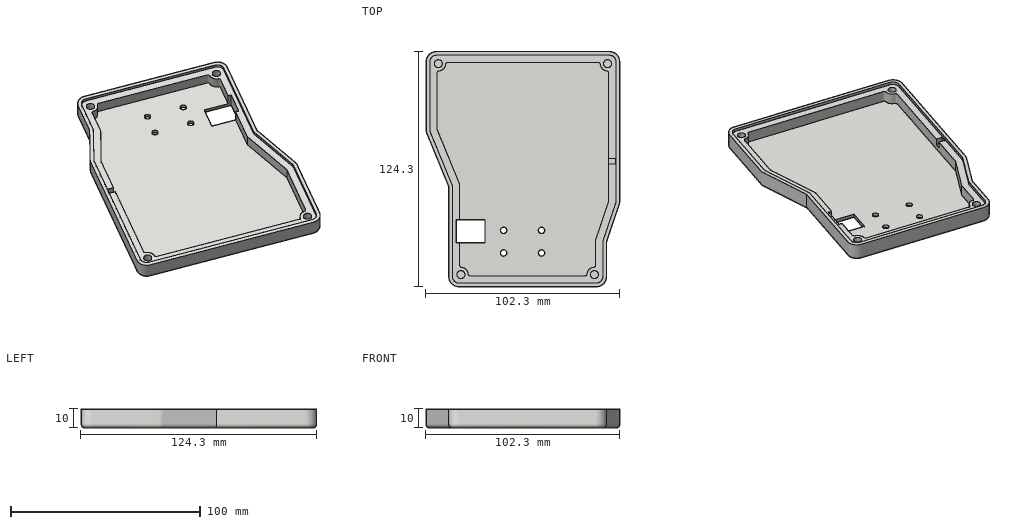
import cadquery as cq
import math

width = 102.3
length = 124.3
height = 10.0

front_left_x = 11.9
front_right_x = 95.3
left_slope_front_y = 53.0
left_slope_back_y = 81.9
right_slope_front_y = 23.7
right_slope_back_y = 44.4
corner_radius = 5.5
bottom_edge_radius = 2.0

floor_thickness = 2.0
lip_width = 2.0
lip_depth = 1.6
wall_thickness = 5.8
ledge_z = height - lip_depth

post_radius = 3.9
post_blend_radius = 1.0
screw_hole_diameter = 4.2
post_inset = 6.5

match_tolerance = 0.01

notch_width = 3.0
notch_center_y = 66.4
notch_outer_wall = 2.4
notch_depth = 3.5

window_width = 15.0
window_length = 12.0
window_left_x = 16.0
window_front_y = 23.4

floor_hole_diameter = 3.2
floor_hole_spacing_x = 20.0
floor_hole_spacing_y = 11.9
floor_hole_center = (51.0, 23.9)

outline = [
    (front_left_x, 0),
    (front_right_x, 0),
    (front_right_x, right_slope_front_y),
    (width, right_slope_back_y),
    (width, length),
    (0, length),
    (0, left_slope_back_y),
    (front_left_x, left_slope_front_y),
]
concave_corners = [outline[2], outline[7]]

post_centers = [
    (front_left_x + post_inset, post_inset),
    (front_right_x - post_inset, post_inset),
    (width - post_inset, length - post_inset),
    (post_inset, length - post_inset),
]


def distance_in_plan(edge, point):
    center = edge.Center()
    return math.hypot(center.x - point[0], center.y - point[1])


def is_convex_corner(edge):
    """True for every outline corner except the two at the foot of the slopes."""
    return all(distance_in_plan(edge, corner) > corner_radius for corner in concave_corners)


def is_post_junction(edge):
    """True where a post surface meets a straight pocket wall."""
    gaps = [abs(distance_in_plan(edge, center) - post_radius) for center in post_centers]
    return min(gaps) < match_tolerance


def rounded_block():
    block = cq.Workplane("XY").polyline(outline).close().extrude(height)
    return block.edges("|Z").filter(is_convex_corner).fillet(corner_radius)


def lip_recess(block):
    """Shallow step that leaves a thin lip around the rim."""
    return block.faces(">Z").wires().toPending().offset2D(-lip_width).extrude(-lip_depth, combine=False)


def cavity():
    """Inner pocket, wrapped around the corner posts."""
    depth = ledge_z - floor_thickness
    pocket = (
        cq.Workplane("XY").workplane(offset=floor_thickness)
        .polyline(outline).close().offset2D(-wall_thickness, "intersection").extrude(depth)
    )
    posts = cq.Workplane("XY").workplane(offset=floor_thickness)
    posts = posts.pushPoints(post_centers).circle(post_radius).extrude(depth)
    return pocket.cut(posts).edges("|Z").filter(is_post_junction).fillet(post_blend_radius)


def screw_holes():
    """Blind holes that stop at floor level."""
    holes = cq.Workplane("XY").workplane(offset=floor_thickness)
    return holes.pushPoints(post_centers).circle(screw_hole_diameter / 2).extrude(height)


def ledge_notch():
    notch_length = wall_thickness - notch_outer_wall
    return (
        cq.Workplane("XY").box(notch_length, notch_width, notch_depth, centered=(False, True, False))
        .translate((width - wall_thickness, notch_center_y, ledge_z - notch_depth))
    )


def window():
    return (
        cq.Workplane("XY").box(window_width, window_length, height, centered=False)
        .translate((window_left_x, window_front_y, 0))
    )


def floor_holes():
    return (
        cq.Workplane("XY").center(*floor_hole_center)
        .rarray(floor_hole_spacing_x, floor_hole_spacing_y, 2, 2)
        .circle(floor_hole_diameter / 2).extrude(height)
    )


block = rounded_block()
body = block.faces("<Z").edges().fillet(bottom_edge_radius)
result = (
    body.cut(lip_recess(block))
    .cut(cavity())
    .cut(screw_holes())
    .cut(ledge_notch())
    .cut(window())
    .cut(floor_holes())
)